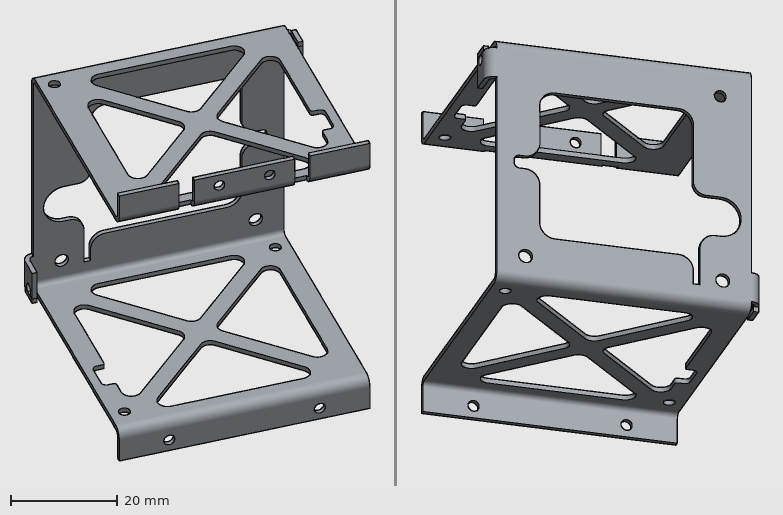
import cadquery as cq
import math

LENGTH_X = 49.5
WIDTH_TOTAL = 54.0
HEIGHT_TOTAL = 62.0
FLANGE_HEIGHT = 6.0
THICKNESS = 1.0

FRAME_HEIGHT = HEIGHT_TOTAL - 2 * FLANGE_HEIGHT
FRAME_WIDTH = FRAME_HEIGHT
OUTER_BEND = (WIDTH_TOTAL - FRAME_WIDTH) / 2
INNER_BEND = OUTER_BEND - THICKNESS

X_WEB = -LENGTH_X / 2
X_FLANGE = LENGTH_X / 2
X_WEB_BEND = X_WEB + OUTER_BEND
X_FLANGE_BEND = X_FLANGE - OUTER_BEND
X_WEB_INNER = X_WEB + THICKNESS
Z_PLATE = FRAME_HEIGHT / 2
Z_BEND = Z_PLATE - OUTER_BEND
Z_FLANGE = HEIGHT_TOTAL / 2
Y_EDGE = FRAME_WIDTH / 2
Y_TAB = WIDTH_TOTAL / 2
CUT_DEPTH = 4 * THICKNESS

STRAP_WIDTH = 3.6
WALL_DISTANCE = 20.5
NEAR_WALL_DISTANCE = 18.5
WINDOW_RADIUS = 2.0

NOTCH_X = 7.05
NOTCH_WIDTH = 6.25
NOTCH_DEPTH = 2.6
NOTCH_CORNER = 1.0
NOTCH_MOUTH = 0.5

PLATE_HOLES = [(-20.3, -22.0), (19.2, 22.0)]
PLATE_HOLE_DIAMETER = 2.25

WEB_WINDOW_SIZE = 30.15
WEB_WINDOW_Y = 1.5
WEB_WINDOW_RADIUS = 3.0
SMALL_BRANCH_LENGTH = 5.0
SMALL_BRANCH_HEIGHT = 2.6
SMALL_BRANCH_RADIUS = 1.0
SMALL_BRANCH_MOUTH = 3.0
LARGE_BRANCH_Z = -6.2
LARGE_BRANCH_CENTRE_Y = -18.9
LARGE_BRANCH_RADIUS = 4.0
LARGE_BRANCH_MOUTH = 2.5
SLIT_WIDTH = 1.3
SLIT_END_Z = -20.8
SLIT_MOUTH = 3.0
SLIT_CORNER = 3.0

WEB_LOWER_HOLE = 19.35
WEB_LOWER_HOLE_DIAMETER = 2.65
WEB_UPPER_HOLE = (-18.85, 18.65)
WEB_UPPER_HOLE_DIAMETER = 2.3

FLANGE_HOLE_INSET = 2.5
TOP_HOLE_Y = 5.0
TOP_HOLE_DIAMETER = 2.1
BOTTOM_HOLE_Y = 15.0
BOTTOM_HOLE_DIAMETER = 2.2
SLOT_Y = 11.55
SLOT_WIDTH = 3.05

TAB_LENGTH = 6.0
TAB_REACH = 8.0
TAB_HOLE_INSET = 3.0
TAB_HOLE_DIAMETER = 2.25
TAB_END = X_WEB + TAB_LENGTH


def bent_half():
    """Upper half of the folded sheet: half the web, the top plate and its flange."""
    inner_z = Z_PLATE - THICKNESS
    flange_inner_x = X_FLANGE - THICKNESS
    return (
        cq.Workplane("XZ")
        .moveTo(X_WEB, 0)
        .lineTo(X_WEB, Z_BEND)
        .tangentArcPoint((X_WEB_BEND, Z_PLATE), relative=False)
        .lineTo(X_FLANGE_BEND, Z_PLATE)
        .tangentArcPoint((flange_inner_x, Z_PLATE + INNER_BEND), relative=False)
        .lineTo(flange_inner_x, Z_FLANGE)
        .lineTo(X_FLANGE, Z_FLANGE)
        .lineTo(X_FLANGE, Z_PLATE + INNER_BEND)
        .tangentArcPoint((X_FLANGE_BEND, inner_z), relative=False)
        .lineTo(X_WEB_BEND, inner_z)
        .tangentArcPoint((X_WEB_INNER, Z_BEND), relative=False)
        .lineTo(X_WEB_INNER, 0)
        .close()
        .extrude(FRAME_WIDTH / 2, both=True)
    )


def half_turned(body, half_turns=1):
    """The same body after a number of half turns about the X axis."""
    return body.rotate((0, 0, 0), (1, 0, 0), 180 * half_turns)


def truss_window(wall_distance, direction_angle):
    """Cutter for a rounded right-angled triangle whose long side faces the given direction."""
    apex = STRAP_WIDTH / math.sqrt(2)
    half_base = wall_distance - apex
    return (
        cq.Workplane("XY")
        .polyline([(apex, 0), (wall_distance, half_base), (wall_distance, -half_base)])
        .close()
        .extrude(CUT_DEPTH / 2, both=True)
        .edges("|Z")
        .fillet(WINDOW_RADIUS)
        .rotate((0, 0, 0), (0, 0, 1), direction_angle)
    )


def fillet_at(body, direction, points, radius):
    """Fillet the edges along a direction that lie nearest to the given points."""
    for point in points:
        body = body.edges(direction).edges(cq.NearestToPointSelector(point)).fillet(radius)
    return body


def notched_window():
    """Cutter for the +Y truss window with the relief notch in its wall."""
    notch = (
        cq.Workplane("XY")
        .box(NOTCH_WIDTH, 2 * NOTCH_DEPTH, CUT_DEPTH)
        .edges("|Z and >Y")
        .fillet(NOTCH_CORNER)
        .translate((NOTCH_X, WALL_DISTANCE, 0))
    )
    mouth = [(NOTCH_X + side * NOTCH_WIDTH / 2, WALL_DISTANCE, 0) for side in (-1, 1)]
    return fillet_at(truss_window(WALL_DISTANCE, 90).union(notch), "|Z", mouth, NOTCH_MOUTH)


def cut_plate(frame, z, y_side, plain_wall_distance):
    """Cut the windows and holes of one plate, with the notched window on the given Y side."""
    holes = (
        cq.Workplane("XY")
        .pushPoints(PLATE_HOLES)
        .circle(PLATE_HOLE_DIAMETER / 2)
        .extrude(CUT_DEPTH / 2, both=True)
    )
    cutters = [
        notched_window(),
        truss_window(WALL_DISTANCE, 0),
        truss_window(WALL_DISTANCE, 180),
        truss_window(plain_wall_distance, 270),
        holes,
    ]
    for cutter in cutters:
        if y_side < 0:
            cutter = cutter.mirror("XZ")
        frame = frame.cut(cutter.translate((0, 0, z)))
    return frame


def web_block(y_low, y_high, z_low, z_high):
    """Rectangular cutter through the web."""
    return (
        cq.Workplane("YZ")
        .rect(y_high - y_low, z_high - z_low)
        .extrude(CUT_DEPTH / 2, both=True)
        .translate((X_WEB, (y_low + y_high) / 2, (z_low + z_high) / 2))
    )


def cut_web_window(frame):
    """Cut the square web window with its small branch, large round branch and narrow slit."""
    half = WEB_WINDOW_SIZE / 2
    y_high = WEB_WINDOW_Y + half
    y_low = WEB_WINDOW_Y - half
    small_half = SMALL_BRANCH_HEIGHT / 2
    large_top = LARGE_BRANCH_Z + LARGE_BRANCH_RADIUS
    large_bottom = LARGE_BRANCH_Z - LARGE_BRANCH_RADIUS
    slit_wall = y_low - SLIT_WIDTH

    small_branch = web_block(WEB_WINDOW_Y, y_high + SMALL_BRANCH_LENGTH, -small_half, small_half)
    large_branch = web_block(LARGE_BRANCH_CENTRE_Y, WEB_WINDOW_Y, large_bottom, large_top)
    large_end = (
        cq.Workplane("YZ")
        .circle(LARGE_BRANCH_RADIUS)
        .extrude(CUT_DEPTH / 2, both=True)
        .translate((X_WEB, LARGE_BRANCH_CENTRE_Y, LARGE_BRANCH_Z))
    )
    slit = web_block(slit_wall, y_low, SLIT_END_Z, LARGE_BRANCH_Z)
    cutter = (
        web_block(y_low, y_high, -half, half)
        .union(small_branch.edges("|X and >Y").fillet(SMALL_BRANCH_RADIUS))
        .union(large_branch)
        .union(large_end)
        .union(slit)
    )
    square_corners = [(X_WEB, y_high, half), (X_WEB, y_low, half), (X_WEB, y_high, -half)]
    small_mouth = [(X_WEB, y_high, small_half), (X_WEB, y_high, -small_half)]
    cutter = fillet_at(cutter, "|X", square_corners, WEB_WINDOW_RADIUS)
    cutter = fillet_at(cutter, "|X", small_mouth, SMALL_BRANCH_MOUTH)
    cutter = fillet_at(cutter, "|X", [(X_WEB, y_low, large_top)], LARGE_BRANCH_MOUTH)
    cutter = fillet_at(cutter, "|X", [(X_WEB, y_low, -half)], SLIT_CORNER)
    cutter = fillet_at(cutter, "|X", [(X_WEB, slit_wall, large_bottom)], SLIT_MOUTH)
    return frame.cut(cutter)


def drill_along_x(frame, x, points, diameter):
    """Drill holes through the sheet at x, at (Y, Z) points."""
    drills = (
        cq.Workplane("YZ")
        .pushPoints(points)
        .circle(diameter / 2)
        .extrude(CUT_DEPTH / 2, both=True)
        .translate((x, 0, 0))
    )
    return frame.cut(drills)


def cut_flange_slots(frame):
    """Split the top flange into three leaves, down to the start of its bend."""
    z_low = Z_PLATE - CUT_DEPTH
    for y in (-SLOT_Y, SLOT_Y):
        slot = cq.Workplane("XY").box(
            OUTER_BEND, SLOT_WIDTH, Z_FLANGE - z_low, centered=(False, True, False)
        )
        frame = frame.cut(slot.translate((X_FLANGE_BEND, y, z_low)))
    return frame


def side_tab():
    """Bent tab on the +Y edge of the web, just below the top plate bend."""
    inner_y = Y_TAB - THICKNESS
    tab = (
        cq.Workplane("XY")
        .moveTo(X_WEB_INNER, Y_EDGE)
        .lineTo(X_WEB, Y_EDGE)
        .radiusArc((X_WEB_BEND, Y_TAB), OUTER_BEND)
        .lineTo(TAB_END, Y_TAB)
        .lineTo(TAB_END, inner_y)
        .lineTo(X_WEB_BEND, inner_y)
        .tangentArcPoint((X_WEB_INNER, Y_EDGE), relative=False)
        .close()
        .extrude(TAB_REACH - OUTER_BEND)
        .translate((0, 0, Z_PLATE - TAB_REACH))
    )
    hole = (
        cq.Workplane("XZ")
        .circle(TAB_HOLE_DIAMETER / 2)
        .extrude(CUT_DEPTH / 2, both=True)
        .translate(((X_WEB_BEND + TAB_END) / 2, Y_TAB, Z_PLATE - TAB_HOLE_INSET))
    )
    return tab.cut(hole)


def make_frame():
    """Folded sheet-metal frame with its two side tabs."""
    upper = bent_half()
    frame = upper.union(half_turned(upper))
    frame = cut_plate(frame, Z_PLATE, 1, NEAR_WALL_DISTANCE)
    frame = cut_plate(frame, -Z_PLATE, -1, WALL_DISTANCE)
    frame = cut_web_window(frame)

    lower_holes = [(-WEB_LOWER_HOLE, -WEB_LOWER_HOLE), (WEB_LOWER_HOLE, -WEB_LOWER_HOLE)]
    frame = drill_along_x(frame, X_WEB, lower_holes, WEB_LOWER_HOLE_DIAMETER)
    frame = drill_along_x(frame, X_WEB, [WEB_UPPER_HOLE], WEB_UPPER_HOLE_DIAMETER)

    hole_z = Z_FLANGE - FLANGE_HOLE_INSET
    top_holes = [(-TOP_HOLE_Y, hole_z), (TOP_HOLE_Y, hole_z)]
    bottom_holes = [(-BOTTOM_HOLE_Y, -hole_z), (BOTTOM_HOLE_Y, -hole_z)]
    frame = drill_along_x(frame, X_FLANGE, top_holes, TOP_HOLE_DIAMETER)
    frame = drill_along_x(frame, X_FLANGE, bottom_holes, BOTTOM_HOLE_DIAMETER)
    frame = cut_flange_slots(frame)
    return frame.union(side_tab()).union(half_turned(side_tab()))


def make_strip():
    """Narrow strip that carries the flat of the +Y tab up to the level of the plate inner face."""
    return cq.Workplane("XY").box(
        TAB_END - X_WEB_BEND, THICKNESS, INNER_BEND, centered=False
    ).translate((X_WEB_BEND, Y_TAB - THICKNESS, Z_BEND))


frame = make_frame()
strips = []
for half_turns in (0, 1):
    strips.append(half_turned(make_strip(), half_turns).val())

result = cq.Compound.makeCompound([frame.val(), *strips])